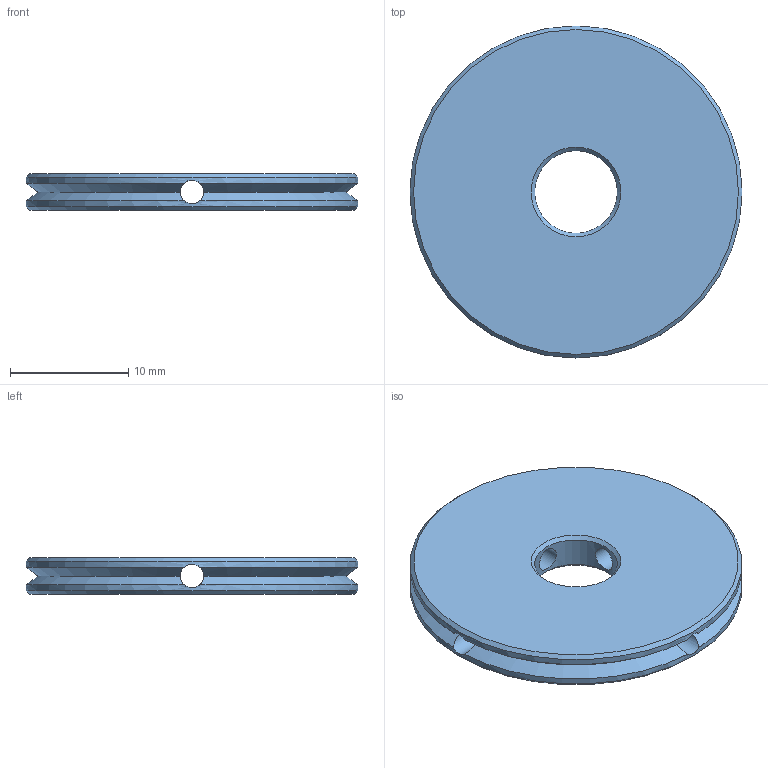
import cadquery as cq

disc_diameter = 28.12
thickness = 3.12
bore_diameter = 7.0
edge_chamfer = 0.3

groove_width = 1.5
groove_depth = 1.0

cross_hole_diameter = 2.0
cross_hole_count = 4
seam_roll = 45

disc_radius = disc_diameter / 2


def make_disc():
    """Disc centred on the origin, with a chamfered rim and a chamfered bore."""
    base = cq.Workplane("XY", origin=(0, 0, -thickness / 2))
    disc = base.circle(disc_radius).circle(bore_diameter / 2).extrude(thickness)
    return disc.faces("|Z").edges().chamfer(edge_chamfer)


def make_groove():
    """Ring with a triangular section that cuts the V groove into the rim."""
    section = (
        cq.Workplane("XZ")
        .moveTo(disc_radius, -groove_width / 2)
        .lineTo(disc_radius - groove_depth, 0)
        .lineTo(disc_radius, groove_width / 2)
        .close()
    )
    return section.revolve(360, (0, 0, 0), (0, 1, 0))


def make_cross_hole(angle):
    """Rod running out along +X from the bore axis, then turned about Z by the given angle.

    The rod is rolled about its own axis so that its seam stays clear of the groove root.
    """
    rod = cq.Workplane("YZ").circle(cross_hole_diameter / 2).extrude(disc_diameter)
    rod = rod.rotate((0, 0, 0), (1, 0, 0), seam_roll)
    return rod.rotate((0, 0, 0), (0, 0, 1), angle)


result = make_disc().cut(make_groove())
for index in range(cross_hole_count):
    result = result.cut(make_cross_hole(index * 360 / cross_hole_count))